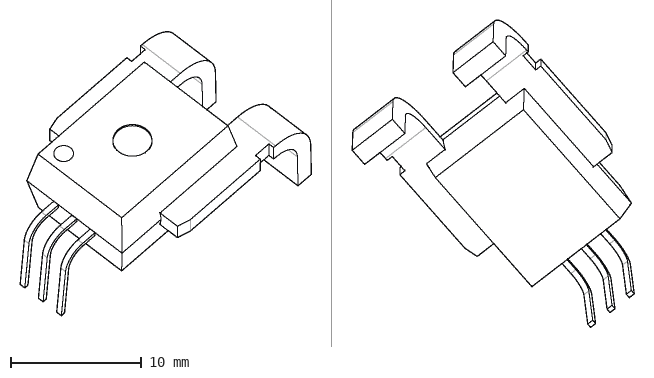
import math

import cadquery as cq


HOUSING_WIDTH = 10.0
HOUSING_LENGTH = 12.98
HOUSING_BOTTOM = 3.51
HOUSING_TOP = 10.52
DRAFT_SLOPE = math.tan(math.radians(10))

DISC_DIAMETER = 3.0
DISC_DEPTH = 0.15
DIMPLE_DIAMETER = 1.5
DIMPLE_DEPTH = 0.3
DIMPLE_X = -3.0
DIMPLE_Y = 1.99

TERMINAL_SPAN = 14.0
TERMINAL_WIDTH = 4.0
TERMINAL_THICKNESS = 1.5
TERMINAL_TOP = 7.78
TERMINAL_FRONT = 4.38
TERMINAL_BEND_START = 15.04
TERMINAL_BEND_RADIUS = 3.95
TERMINAL_BEND_ANGLE = 89.0
NOTCH_START = 13.33
NOTCH_LENGTH = 1.5
NOTCH_DEPTH = 0.5
CORNER_CUT_LENGTH = 1.12
CORNER_CUT_WIDTH = 0.3

PIN_COUNT = 3
PIN_PITCH = 1.92
PIN_WIDTH = 0.5
PIN_THICKNESS = 0.37
PIN_TOP = 7.07
PIN_BEND_START = 1.4
PIN_BEND_RADIUS = 1.92
PIN_BEND_ANGLE = 85.0

SIDE_PARTING = PIN_TOP
BACK_PARTING = TERMINAL_TOP


def bent_lead(start, bend_start, top, thickness, outer_radius, bend_angle, width):
    """Strip that runs along +Y below `top`, bends down and ends flat on Z = 0; centred on X = 0."""
    angle = math.radians(bend_angle)
    bend_center_z = top - outer_radius

    def bend_point(radius, turn):
        return (bend_start + radius * math.sin(turn), bend_center_z + radius * math.cos(turn))

    def foot(radius):
        y, z = bend_point(radius, angle)
        return (y + z / math.tan(angle), 0)

    inner_radius = outer_radius - thickness
    return (
        cq.Workplane("YZ")
        .moveTo(start, top)
        .lineTo(bend_start, top)
        .threePointArc(bend_point(outer_radius, angle / 2), bend_point(outer_radius, angle))
        .lineTo(*foot(outer_radius))
        .lineTo(*foot(inner_radius))
        .lineTo(*bend_point(inner_radius, angle))
        .threePointArc(bend_point(inner_radius, angle / 2), bend_point(inner_radius, 0))
        .lineTo(start, top - thickness)
        .close()
        .extrude(width / 2, both=True)
    )


def make_right_terminal():
    terminal = bent_lead(
        TERMINAL_FRONT,
        TERMINAL_BEND_START,
        TERMINAL_TOP,
        TERMINAL_THICKNESS,
        TERMINAL_BEND_RADIUS,
        TERMINAL_BEND_ANGLE,
        TERMINAL_WIDTH,
    )
    outer_x = TERMINAL_WIDTH / 2
    blade_bottom = cq.Workplane("XY").workplane(offset=TERMINAL_TOP - TERMINAL_THICKNESS)
    notch = (
        blade_bottom.moveTo(outer_x - NOTCH_DEPTH, NOTCH_START)
        .rect(2 * NOTCH_DEPTH, NOTCH_LENGTH, centered=False)
        .extrude(TERMINAL_THICKNESS)
    )
    corner = (
        blade_bottom.moveTo(outer_x - CORNER_CUT_WIDTH, TERMINAL_FRONT)
        .lineTo(outer_x, TERMINAL_FRONT)
        .lineTo(outer_x, TERMINAL_FRONT + CORNER_CUT_LENGTH)
        .close()
        .extrude(TERMINAL_THICKNESS)
    )
    return terminal.cut(notch).cut(corner).translate(((TERMINAL_SPAN - TERMINAL_WIDTH) / 2, 0, 0))


def make_pins():
    """Row of signal pins that butt against the front parting edge of the housing and bend down."""
    pin = bent_lead(
        0,
        PIN_BEND_START,
        PIN_TOP,
        PIN_THICKNESS,
        PIN_BEND_RADIUS,
        PIN_BEND_ANGLE,
        PIN_WIDTH,
    ).mirror("XZ")
    first_x = -PIN_PITCH * (PIN_COUNT - 1) / 2
    return [pin.translate((first_x + i * PIN_PITCH, 0, 0)) for i in range(PIN_COUNT)]


def make_housing_block():
    """Block with drafted walls: the overlap of its lengthwise and crosswise outlines."""
    top_inset = (HOUSING_TOP - SIDE_PARTING) * DRAFT_SLOPE
    bottom_inset = (SIDE_PARTING - HOUSING_BOTTOM) * DRAFT_SLOPE
    back_top_inset = (HOUSING_TOP - BACK_PARTING) * DRAFT_SLOPE
    back_bottom_inset = (BACK_PARTING - HOUSING_BOTTOM) * DRAFT_SLOPE
    half_width = HOUSING_WIDTH / 2

    lengthwise = (
        cq.Workplane("YZ")
        .polyline(
            [
                (0, SIDE_PARTING),
                (top_inset, HOUSING_TOP),
                (HOUSING_LENGTH - back_top_inset, HOUSING_TOP),
                (HOUSING_LENGTH, BACK_PARTING),
                (HOUSING_LENGTH - back_bottom_inset, HOUSING_BOTTOM),
                (bottom_inset, HOUSING_BOTTOM),
            ]
        )
        .close()
        .extrude(half_width, both=True)
    )
    crosswise = (
        cq.Workplane("XZ")
        .polyline(
            [
                (-half_width, SIDE_PARTING),
                (-half_width + top_inset, HOUSING_TOP),
                (half_width - top_inset, HOUSING_TOP),
                (half_width, SIDE_PARTING),
                (half_width - bottom_inset, HOUSING_BOTTOM),
                (-half_width + bottom_inset, HOUSING_BOTTOM),
            ]
        )
        .close()
        .extrude(-HOUSING_LENGTH)
    )
    return lengthwise.intersect(crosswise)


def make_housing(pocketed_bodies):
    """Housing with its two top recesses and a matching pocket for each power terminal."""
    disc_recess = (
        cq.Workplane("XY")
        .workplane(offset=HOUSING_TOP - DISC_DEPTH)
        .center(0, HOUSING_LENGTH / 2)
        .circle(DISC_DIAMETER / 2)
        .extrude(DISC_DEPTH)
    )
    sphere_radius = ((DIMPLE_DIAMETER / 2) ** 2 + DIMPLE_DEPTH**2) / (2 * DIMPLE_DEPTH)
    sphere_center = (DIMPLE_X, DIMPLE_Y, HOUSING_TOP - DIMPLE_DEPTH + sphere_radius)
    dimple = cq.Workplane("XY").sphere(sphere_radius).translate(sphere_center)
    housing = make_housing_block().cut(disc_recess).cut(dimple)
    for body in pocketed_bodies:
        housing = housing.cut(body)
    return housing


right_terminal = make_right_terminal()
left_terminal = right_terminal.mirror("YZ")
terminals = [left_terminal, right_terminal]
pins = make_pins()
housing = make_housing(terminals)

result = cq.Compound.makeCompound([housing.val(), *[lead.val() for lead in terminals + pins]])